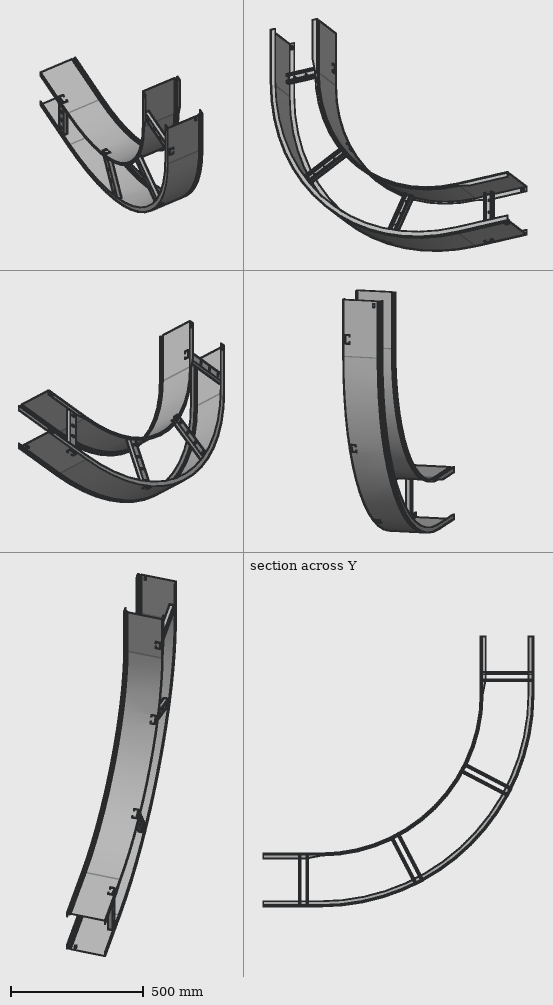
import cadquery as cq
import math

overall_x = 1018.0
overall_z = 1017.0
ladder_height = 150.0
ladder_width = 200.0
outer_radius = 800.0
inner_radius = outer_radius - ladder_width
leg_x = overall_x - outer_radius
leg_z = overall_z - outer_radius
bend_x = leg_x
bend_z = outer_radius
sheet = 2.0

flange_width = 20.0
inner_bend_flange_width = 9.0
full_flange_length = 161.0

bead_start = 134.0
bead_end = 146.0
bead_slope = 3.0
bead_depth = 4.0

slot_length = 15.0
slot_width = 7.0
end_slot_offset = 17.0
web_slot_height = 120.0

rung_width = 36.0
rung_bottom = 8.0
rung_top = 26.0
rung_lip = 8.0
end_rung_offset = 152.0
middle_rung_angle = 27.5
rung_slot_pitch = 49.0
rung_slot_count = 4

INWARD = {"outer": -1, "inner": 1}
middle_radius = (outer_radius + inner_radius) / 2


def floor_plane(y):
    """Workplane at height y that extrudes towards +Y; its local axes are X and -Z."""
    return cq.Workplane(cq.Plane(origin=(0, y, 0), xDir=(1, 0, 0), normal=(0, 1, 0)))


def bend_point(radius, angle):
    """Local floor-plane point on the turn; 0 degrees is the X leg's end, 90 the Z leg's."""
    turn = math.radians(angle)
    return (bend_x + radius * math.sin(turn), radius * math.cos(turn) - bend_z)


def ladder_envelope():
    """Full-height block between the outer faces of the two webs."""
    return (
        floor_plane(0)
        .moveTo(0, inner_radius - bend_z)
        .lineTo(*bend_point(inner_radius, 0))
        .threePointArc(bend_point(inner_radius, 45), bend_point(inner_radius, 90))
        .lineTo(bend_x + inner_radius, -overall_z)
        .lineTo(bend_x + outer_radius, -overall_z)
        .lineTo(*bend_point(outer_radius, 90))
        .threePointArc(bend_point(outer_radius, 45), bend_point(outer_radius, 0))
        .lineTo(0, outer_radius - bend_z)
        .close()
        .extrude(ladder_height)
    )


def rail_channel(web_radius, inward):
    """Beaded channel swept along one leg, the turn and the other leg."""
    section = [
        (0, 0),
        (flange_width, 0),
        (flange_width, sheet),
        (sheet, sheet),
        (sheet, bead_start),
        (sheet + bead_depth, bead_start + bead_slope),
        (sheet + bead_depth, bead_end - bead_slope),
        (sheet, bead_end),
        (sheet, ladder_height - sheet),
        (flange_width, ladder_height - sheet),
        (flange_width, ladder_height),
        (0, ladder_height),
        (0, bead_end),
        (bead_depth, bead_end - bead_slope),
        (bead_depth, bead_start + bead_slope),
        (0, bead_start),
    ]
    radial = [(web_radius + inward * depth, y) for depth, y in section]
    x_leg = (
        cq.Workplane("YZ")
        .polyline([(y, bend_z - radius) for radius, y in radial])
        .close()
        .extrude(leg_x)
    )
    turn_end = cq.Workplane("XY", origin=(bend_x, 0, bend_z))
    z_leg = turn_end.polyline(radial).close().extrude(leg_z)
    turn = turn_end.polyline(radial).close().revolve(90, (0, 0, 0), (0, 1, 0))
    return x_leg.union(turn).union(z_leg)


def inner_flange_trim():
    """Waste outside the inner rail's narrowed flange edge, tapering in from both legs."""
    edge_radius = inner_radius + inner_bend_flange_width
    full_radius = inner_radius + flange_width
    waste_radius = full_radius + flange_width
    taper_x = full_flange_length
    taper_z = overall_z - full_flange_length
    return (
        floor_plane(0)
        .moveTo(taper_x, full_radius - bend_z)
        .lineTo(*bend_point(edge_radius, 0))
        .threePointArc(bend_point(edge_radius, 45), bend_point(edge_radius, 90))
        .lineTo(bend_x + full_radius, -taper_z)
        .lineTo(bend_x + waste_radius, -taper_z)
        .lineTo(*bend_point(waste_radius, 90))
        .threePointArc(bend_point(waste_radius, 45), bend_point(waste_radius, 0))
        .lineTo(taper_x, waste_radius - bend_z)
        .close()
        .extrude(ladder_height)
    )


def flange_end_slots(web_radius, inward):
    """Slots through the -Y flange, one near each leg end and lengthwise to it."""
    slot_radius = web_radius + inward * flange_width / 2
    x_leg_slot = (
        floor_plane(0)
        .center(end_slot_offset, slot_radius - bend_z)
        .slot2D(slot_length, slot_width)
        .extrude(sheet)
    )
    z_leg_slot = (
        floor_plane(0)
        .center(bend_x + slot_radius, end_slot_offset - overall_z)
        .slot2D(slot_length, slot_width, 90)
        .extrude(sheet)
    )
    return x_leg_slot.union(z_leg_slot)


def web_end_slots():
    """Slots through the outer rail's web, one near each leg end and lengthwise to it."""
    x_leg_slot = (
        cq.Workplane("XY")
        .center(end_slot_offset, web_slot_height)
        .slot2D(slot_length, slot_width)
        .extrude(sheet)
    )
    z_leg_slot = (
        cq.Workplane("YZ", origin=(overall_x - sheet, 0, 0))
        .center(web_slot_height, overall_z - end_slot_offset)
        .slot2D(slot_length, slot_width, 90)
        .extrude(sheet)
    )
    return x_leg_slot.union(z_leg_slot)


def rung(x, z, turn_angle):
    """Slotted lipped channel across the ladder, centred at (x, z), trimmed flush with the webs."""
    half = rung_width / 2
    lip_tip = half - rung_lip
    section = [
        (-half, rung_bottom),
        (half, rung_bottom),
        (half, rung_top),
        (lip_tip, rung_top),
        (lip_tip, rung_top - sheet),
        (half - sheet, rung_top - sheet),
        (half - sheet, rung_bottom + sheet),
        (sheet - half, rung_bottom + sheet),
        (sheet - half, rung_top - sheet),
        (-lip_tip, rung_top - sheet),
        (-lip_tip, rung_top),
        (-half, rung_top),
    ]
    blank = cq.Workplane("XY").polyline(section).close().extrude(ladder_width, both=True)
    slots = (
        floor_plane(rung_bottom)
        .rarray(10, rung_slot_pitch, 1, rung_slot_count)
        .slot2D(slot_length, slot_width)
        .extrude(sheet)
    )
    placed = blank.cut(slots).rotate((0, 0, 0), (0, 1, 0), -turn_angle).translate((x, 0, z))
    return placed.intersect(ladder_envelope())


rung_places = [
    (end_rung_offset, bend_z - middle_radius, 0),
    (bend_x + middle_radius, overall_z - end_rung_offset, 90),
]
for angle in (middle_rung_angle, 90 - middle_rung_angle):
    local_x, local_y = bend_point(middle_radius, angle)
    rung_places.append((local_x, -local_y, angle))
rungs = [rung(x, z, angle) for x, z, angle in rung_places]

outer_rail = rail_channel(outer_radius, INWARD["outer"])
outer_rail = outer_rail.cut(flange_end_slots(outer_radius, INWARD["outer"])).cut(web_end_slots())
inner_rail = rail_channel(inner_radius, INWARD["inner"]).cut(inner_flange_trim())
inner_rail = inner_rail.cut(flange_end_slots(inner_radius, INWARD["inner"]))

for crossing in rungs:
    outer_rail = outer_rail.cut(crossing)
    inner_rail = inner_rail.cut(crossing)

result = cq.Compound.makeCompound(
    [body.solids().val() for body in (outer_rail, inner_rail, *rungs)]
)